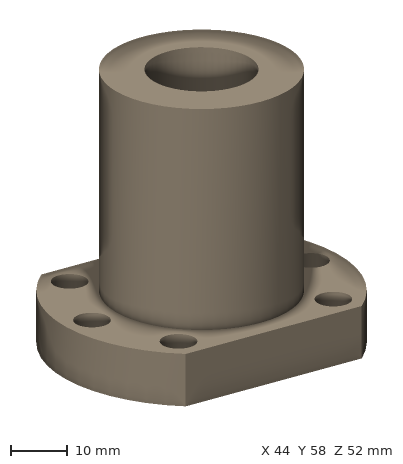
import cadquery as cq

flange_diameter = 58.0
flange_width = 44.0
flange_thickness = 10.0

total_height = 52.0
body_diameter = 36.0
bore_diameter = 20.0

hole_diameter = 6.6
bolt_circle_diameter = 47.0
hole_spacing_angle = 45
holes_per_group = 3


def make_flange():
    disc = cq.Workplane("XY").circle(flange_diameter / 2).extrude(flange_thickness)
    flats = cq.Workplane("XY").rect(flange_width, flange_diameter).extrude(flange_thickness)
    return disc.intersect(flats)


def make_body():
    return cq.Workplane("XY").circle(body_diameter / 2).extrude(total_height)


def make_bore():
    return cq.Workplane("XY").circle(bore_diameter / 2).extrude(total_height)


def make_hole_group(center_angle):
    first_angle = center_angle - hole_spacing_angle * (holes_per_group - 1) / 2
    return (
        cq.Workplane("XY")
        .polarArray(
            bolt_circle_diameter / 2,
            first_angle,
            hole_spacing_angle * (holes_per_group - 1),
            holes_per_group,
        )
        .circle(hole_diameter / 2)
        .extrude(flange_thickness)
    )


result = make_flange().union(make_body()).cut(make_bore())
for group_angle in (90, 270):
    result = result.cut(make_hole_group(group_angle))